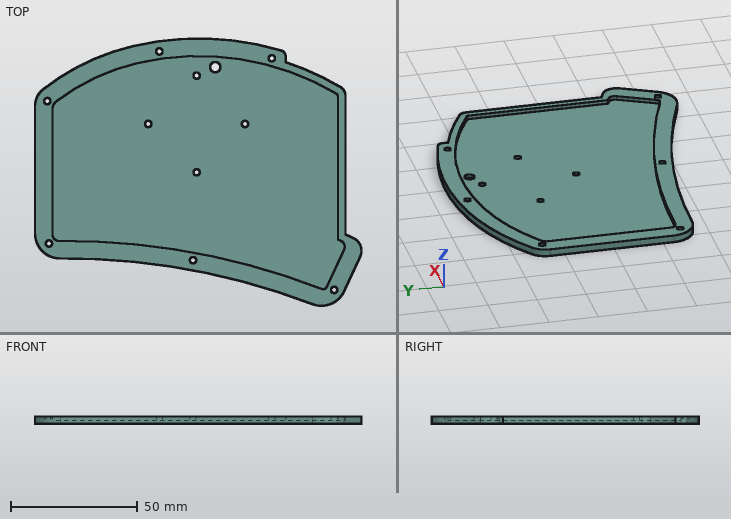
import cadquery as cq
import math

thickness = 3.0
pocket_depth = 1.5
wide_rim = 7.0
narrow_rim = 3.1
right_x = 122.8

broad_center = (64.8, -7.7)
broad_radius = 113.6
tight_radius = 91.7
blend_x = 38.9

step_x = 99.2

bottom_center = (12.3, -252.7)
bottom_radius = 271.5

lobe_tilt = math.radians(25)
lobe_start_y = 28.4
lobe_end_point = (121.8, 4.9)

screw_diameter = 2.5
cable_diameter = 4.0
rim_screws = [(4.9, 81.1), (49.2, 100.7), (93.6, 98.0), (5.5, 24.8), (62.5, 18.2), (118.3, 6.5)]
pattern_center = (63.9, 72.0)
pattern_radius = 19.1
cable_hole = (71.3, 94.5)

blend_angle = math.acos((blend_x - broad_center[0]) / broad_radius)
center_gap = broad_radius - tight_radius
tight_center = (
    broad_center[0] + center_gap * math.cos(blend_angle),
    broad_center[1] + center_gap * math.sin(blend_angle),
)


def on_arc(center, radius, x):
    """Point at x on the upper half of a circle."""
    return (x, center[1] + math.sqrt(radius**2 - (x - center[0]) ** 2))


def mid_arc(center, radius, start, end):
    """Point on the upper half of a circle, halfway in X between two points."""
    return on_arc(center, radius, (start[0] + end[0]) / 2)


def lobe_end_x(y, inset):
    """X of the lobe's end edge, moved inwards by inset."""
    return lobe_end_point[0] + (y - lobe_end_point[1]) * math.tan(lobe_tilt) - inset / math.cos(lobe_tilt)


def lobe_upper_y(x, inset):
    """Y of the lobe's upper edge, moved inwards by inset."""
    return lobe_start_y - (x - right_x) * math.tan(lobe_tilt) - inset / math.cos(lobe_tilt)


def lobe_tip(end_inset, upper_inset):
    """Corner between the end edge and the upper edge, which are perpendicular."""
    slope = math.tan(lobe_tilt)
    end_x0 = lobe_end_x(0, end_inset)
    y = lobe_upper_y(end_x0, upper_inset) / (1 + slope**2)
    return (lobe_end_x(y, end_inset), y)


def lobe_foot(inset):
    """Corner between the lobe's end edge and the bottom arc."""
    along = (math.sin(lobe_tilt), math.cos(lobe_tilt))
    start_x = lobe_end_x(0, inset) - bottom_center[0]
    start_y = -bottom_center[1]
    half_b = start_x * along[0] + start_y * along[1]
    rest = start_x**2 + start_y**2 - (bottom_radius + inset) ** 2
    travel = -half_b + math.sqrt(half_b**2 - rest)
    return (lobe_end_x(0, inset) + travel * along[0], travel * along[1])


def round_corners(body, corners):
    """Fillet the upright edge at each (point, radius) pair."""
    for (x, y), radius in corners:
        edge = cq.selectors.NearestToPointSelector((x, y, body.val().Center().z))
        body = body.edges("|Z").edges(edge).fillet(radius)
    return body


def make_body(inset, right_edge, stepped, lobe_inset, height, radii):
    """Plate-shaped prism with its edges moved inwards; radii are named by corner."""
    broad = broad_radius - inset
    tight = tight_radius - inset
    bottom = bottom_radius + inset
    shoulder_radius = broad_radius - wide_rim + narrow_rim if stepped else broad

    lower_left = on_arc(bottom_center, bottom, inset)
    upper_left = on_arc(tight_center, tight, inset)
    blend = (
        broad_center[0] + broad * math.cos(blend_angle),
        broad_center[1] + broad * math.sin(blend_angle),
    )
    upper_right = on_arc(broad_center, shoulder_radius, right_edge)
    neck = (right_edge, lobe_upper_y(right_edge, lobe_inset))
    tip = lobe_tip(inset, lobe_inset)
    foot = lobe_foot(inset)

    outline = cq.Workplane("XY").moveTo(*lower_left).lineTo(*upper_left)
    outline = outline.threePointArc(mid_arc(tight_center, tight, upper_left, blend), blend)
    corner = blend
    if stepped:
        tab = on_arc(broad_center, broad, step_x)
        corner = on_arc(broad_center, shoulder_radius, step_x)
        outline = outline.threePointArc(mid_arc(broad_center, broad, blend, tab), tab).lineTo(*corner)
    outline = outline.threePointArc(mid_arc(broad_center, shoulder_radius, corner, upper_right), upper_right)
    outline = outline.lineTo(*neck).lineTo(*tip).lineTo(*foot)
    outline = outline.threePointArc(mid_arc(bottom_center, bottom, foot, lower_left), lower_left)
    body = outline.close().extrude(height)

    places = {
        "lower_left": lower_left,
        "upper_left": upper_left,
        "upper_right": upper_right,
        "tip": tip,
        "foot": foot,
    }
    if stepped:
        places["tab"] = tab
    return round_corners(body, [(places[name], radius) for name, radius in radii.items()])


plate_radii = {"lower_left": 10.0, "upper_left": 8.4, "upper_right": 3.9, "tip": 5.5, "foot": 10.0, "tab": 2.6}
pocket_radii = {"lower_left": 2.6, "upper_left": 3.9, "upper_right": 1.0, "tip": 2.6, "foot": 1.5}

plate = make_body(0, right_x, True, 0, thickness, plate_radii)
pocket = make_body(wide_rim, right_x - narrow_rim, False, narrow_rim, pocket_depth, pocket_radii)
plate = plate.cut(pocket.translate((0, 0, thickness - pocket_depth)))


def drill(body, points, diameter):
    """Cut vertical through holes at the given points."""
    return body.cut(cq.Workplane("XY").pushPoints(points).circle(diameter / 2).extrude(thickness))


pattern_screws = [
    (pattern_center[0] + dx * pattern_radius, pattern_center[1] + dy * pattern_radius)
    for dx, dy in [(1, 0), (0, 1), (-1, 0), (0, -1)]
]
plate = drill(plate, rim_screws + pattern_screws, screw_diameter)
result = drill(plate, [cable_hole], cable_diameter)